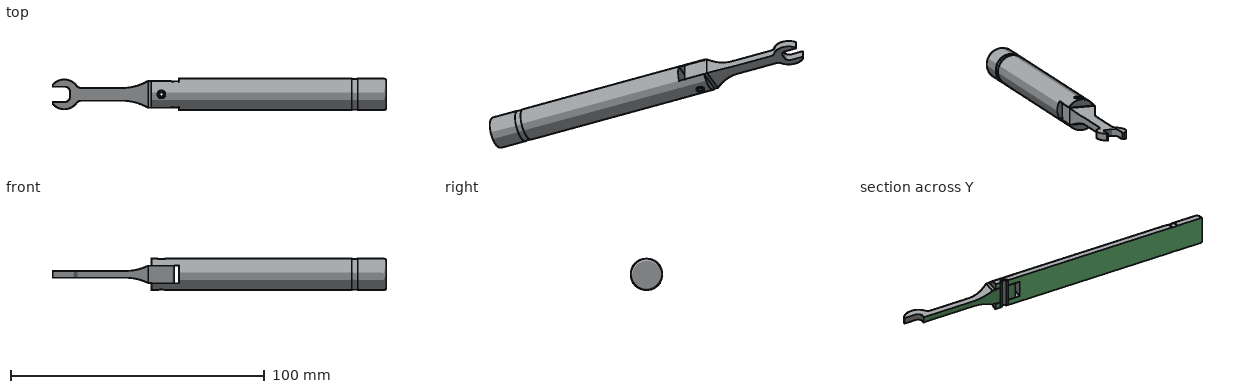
import cadquery as cq
import math

OVERALL_LENGTH = 131.5

HANDLE_RADIUS = 6.25
HANDLE_START = 38.9
END_FILLET = 1.0
SLOT_HEIGHT = 6.8
SLOT_END = 49.7
GROOVE_START = 117.8
GROOVE_WIDTH = 2.4
GROOVE_DEPTH = 0.1

JAW_RADIUS = 5.9
JAW_CENTER_X = 4.6
JAW_OPENING = 5.9
JAW_DEPTH = 6.8
JAW_CORNER_RADIUS = 2.0
JAW_NECK_FILLET = 2.2
NECK_WIDTH = 5.1
NECK_THICKNESS = 2.8
FLARE_RADIUS = 20.0
BLOCK_START = 37.6
BLOCK_END = 48.0
BLOCK_WIDTH = 10.6
BLOCK_CORNER_RADIUS = 2.0

PIN_X = 42.9
PIN_RADIUS = 1.6
PIN_BORE_RADIUS = 0.8
PIN_LENGTH = 2 * math.sqrt(HANDLE_RADIUS**2 - PIN_RADIUS**2)


def upright_cylinder(radius, height, x):
    """Cylinder along Z, centred on Z = 0."""
    return cq.Workplane("XY").center(x, 0).circle(radius).extrude(height / 2, both=True)


def x_cylinder(radius, start, length):
    """Cylinder along the tool axis."""
    return cq.Workplane("YZ", origin=(start, 0, 0)).circle(radius).extrude(length)


def pin_hole():
    return upright_cylinder(PIN_RADIUS, 2 * HANDLE_RADIUS, PIN_X)


def make_handle():
    body = x_cylinder(HANDLE_RADIUS, HANDLE_START, OVERALL_LENGTH - HANDLE_START)
    body = body.faces(">X").edges().fillet(END_FILLET)

    slot_length = SLOT_END - HANDLE_START
    slot = cq.Workplane("XY").box(slot_length, 2 * HANDLE_RADIUS, SLOT_HEIGHT)
    slot = slot.translate((HANDLE_START + slot_length / 2, 0, 0))

    groove = x_cylinder(HANDLE_RADIUS, GROOVE_START, GROOVE_WIDTH).cut(
        x_cylinder(HANDLE_RADIUS - GROOVE_DEPTH, GROOVE_START, GROOVE_WIDTH)
    )
    return body.cut(slot).cut(groove).cut(pin_hole())


def flared_shank(plane, neck_size, block_size, depth):
    """Straight neck that flares along tangent arcs into the hinge block, seen in one plane."""
    neck_half = neck_size / 2
    block_half = block_size / 2
    rise = block_half - neck_half
    flare_length = math.sqrt(2 * FLARE_RADIUS * rise - rise**2)
    flare_start = BLOCK_START - flare_length
    half_angle = math.asin(flare_length / FLARE_RADIUS) / 2
    mid_x = flare_start + FLARE_RADIUS * math.sin(half_angle)
    mid_half = neck_half + FLARE_RADIUS * (1 - math.cos(half_angle))
    return (
        cq.Workplane(plane)
        .moveTo(JAW_CENTER_X, -neck_half)
        .lineTo(flare_start, -neck_half)
        .threePointArc((mid_x, -mid_half), (BLOCK_START, -block_half))
        .lineTo(BLOCK_END, -block_half)
        .lineTo(BLOCK_END, block_half)
        .lineTo(BLOCK_START, block_half)
        .threePointArc((mid_x, mid_half), (flare_start, neck_half))
        .lineTo(JAW_CENTER_X, neck_half)
        .close()
        .extrude(depth / 2, both=True)
    )


def jaw_opening():
    """Open-ended slot with rounded inner corners, starting at the jaw tip."""
    jaw_front = JAW_CENTER_X - JAW_RADIUS
    length = JAW_DEPTH - jaw_front
    opening = cq.Workplane("XY").box(length, JAW_OPENING, NECK_THICKNESS)
    opening = opening.translate((jaw_front + length / 2, 0, 0))
    opening = opening.edges("|Z and >X").fillet(JAW_CORNER_RADIUS)
    front_cap = cq.Workplane("XY").box(-jaw_front, 2 * JAW_RADIUS, NECK_THICKNESS)
    return opening.union(front_cap.translate((jaw_front / 2, 0, 0)))


def make_head():
    plan = flared_shank("XY", NECK_WIDTH, BLOCK_WIDTH, SLOT_HEIGHT)
    plan = plan.edges("|Z and >X").fillet(BLOCK_CORNER_RADIUS)
    profile = flared_shank("XZ", NECK_THICKNESS, SLOT_HEIGHT, BLOCK_WIDTH)
    shank = plan.intersect(profile)

    head = shank.union(upright_cylinder(JAW_RADIUS, NECK_THICKNESS, JAW_CENTER_X))
    corner_x = JAW_CENTER_X + math.sqrt(JAW_RADIUS**2 - (NECK_WIDTH / 2) ** 2)
    for side in (-1, 1):
        corner = (corner_x, side * NECK_WIDTH / 2, 0)
        head = head.edges(cq.NearestToPointSelector(corner)).fillet(JAW_NECK_FILLET)
    return head.cut(jaw_opening()).cut(pin_hole())


def make_pin():
    pin = upright_cylinder(PIN_RADIUS, PIN_LENGTH, PIN_X)
    return pin.cut(upright_cylinder(PIN_BORE_RADIUS, PIN_LENGTH, PIN_X))


handle = make_handle()
head = make_head()
pin = make_pin()

result = cq.Compound.makeCompound([handle.val(), head.val(), pin.val()])